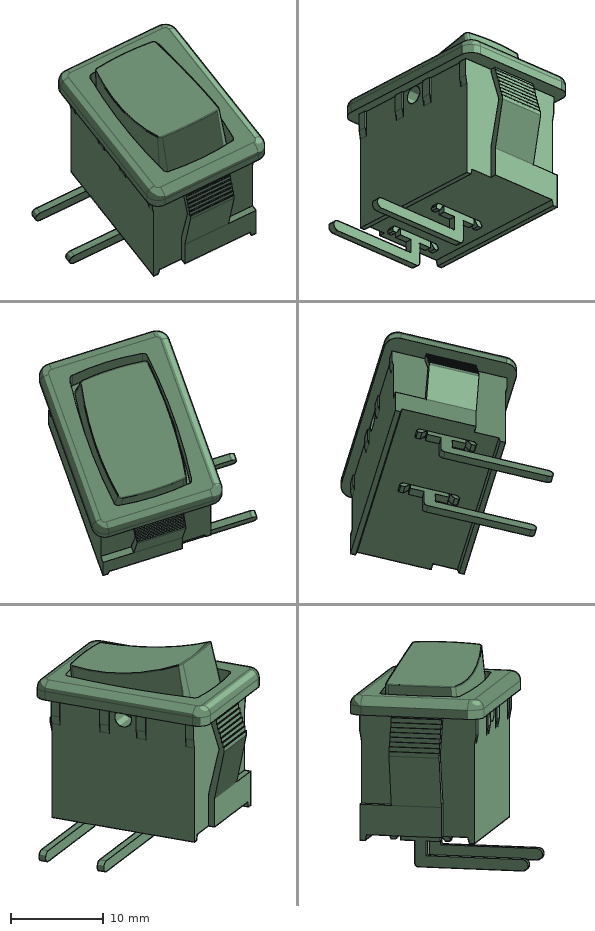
import cadquery as cq
import math


BEZEL_LENGTH = 20.7
BEZEL_WIDTH = 14.8
BEZEL_HEIGHT = 2.0
BEZEL_CORNER_RADIUS = 1.46
BEZEL_TOP_FILLET = BEZEL_HEIGHT / 2

WELL_HALF_LENGTH = 8.25
WELL_HALF_WIDTH = 4.88
WELL_END_BOW = 0.34
WELL_SIDE_BOW = 0.5
WELL_CORNER_RADIUS = 0.5
WELL_FLOOR_Z = -1.12

BODY_LENGTH = 17.15
BODY_WIDTH = 12.6
BODY_BOTTOM_Z = -14.0
FOOT_HEIGHT = 0.65
FOOT_TIP_WIDTH = 0.58
FOOT_ROOT_WIDTH = 0.76
PIVOT_HOLE_DIAMETER = 2.0
PIVOT_HOLE_DEPTH = 2.92
PIVOT_Z = -PIVOT_HOLE_DIAMETER / 2

RIB_END_Z = -3.04
RIB_TAPER_START_Z = -2.05
RIB_PROTRUSION = 0.18
OUTER_RIB_WIDTH = 1.0
INNER_RIB_WIDTH = 1.12
INNER_RIB_OFFSET = 2.2

CLIP_WIDTH = 5.58
CLIP_SPAN = 20.95
CLIP_REACH = CLIP_SPAN / 2
CLIP_TOP_REACH = 9.22
CLIP_STEPS = 8
CLIP_FIRST_STEP_Z = -0.34
CLIP_BEND_Z = -4.39
CLIP_INNER_TOP_Z = -0.22
CLIP_INNER_REACH = 9.85
CLIP_INNER_BEND_Z = -4.16
CLIP_INNER_BOTTOM_Z = -9.68
PLATE_REACH = 9.32
PLATE_TOP_Z = -10.01

ROCKER_TILT = 10.0
ROCKER_DRAFT = 3.5
ROCKER_BASE_Z = -1.8
ROCKER_END_Z = 5.38
ROCKER_TOP_HALF_LENGTH = 7.06
ROCKER_TOP_HALF_WIDTH = 4.36
ROCKER_TOP_SAG = 0.88
ROCKER_END_BOW = 0.3
ROCKER_SIDE_BOW = 0.58
ROCKER_CORNER_RADIUS = 0.45
ROCKER_EDGE_FILLET = 0.1
ROCKER_UNDERCUT_TOP_Z = 0.68
ROCKER_UNDERCUT_ANGLE = 35.0

TERMINAL_POSITIONS = (-7.0, 0.0)
TERMINAL_THICKNESS = 0.8
TERMINAL_BASE_WIDTH = 4.36
TERMINAL_BASE_BOTTOM_Z = -14.13
LEAD_WIDTH = 1.25
LEAD_BOTTOM_Z = -17.0
LEAD_TIP_Y = -12.0
LEAD_BEND_RADIUS = 0.45
LEAD_INNER_RADIUS = 0.14
TAB_ROOT_INNER_Y = 2.2
TAB_ROOT_OUTER_Y = 3.08
TAB_TIP_INNER_Y = 2.8
TAB_TIP_MIDDLE_Y = 3.26
TAB_TIP_OUTER_Y = 3.38
TAB_SHOULDER_Z = -13.8
TAB_BOTTOM_Z = -14.06

RECESS_Z = BODY_BOTTOM_Z + FOOT_HEIGHT
EMBED = 0.22


def bowed_outline(half_length, half_width, end_bow, side_bow, corner_radius):
    """Rectangle whose four sides bulge outward, with rounded corners."""
    corner_x = half_length - end_bow
    corner_y = half_width - side_bow
    return (
        cq.Sketch()
        .arc((-corner_x, -corner_y), (0, -half_width), (corner_x, -corner_y))
        .arc((corner_x, -corner_y), (half_length, 0), (corner_x, corner_y))
        .arc((corner_x, corner_y), (0, half_width), (-corner_x, corner_y))
        .arc((-corner_x, corner_y), (-half_length, 0), (-corner_x, -corner_y))
        .assemble()
        .vertices()
        .fillet(corner_radius)
    )


def extrude_yz(points, x_start, x_end):
    """Prism along X with its outline given as (y, z) points."""
    plane = cq.Workplane("YZ", origin=(x_start, 0, 0))
    return plane.polyline(points).close().extrude(x_end - x_start)


def make_bezel():
    return (
        cq.Workplane("XY")
        .rect(BEZEL_LENGTH, BEZEL_WIDTH)
        .extrude(BEZEL_HEIGHT)
        .edges("|Z")
        .fillet(BEZEL_CORNER_RADIUS)
        .faces(">Z")
        .edges()
        .fillet(BEZEL_TOP_FILLET)
    )


def make_housing():
    """Housing block, with an end plate at the back of each end and feet below."""
    half_width = BODY_WIDTH / 2
    block = cq.Workplane("XY").box(
        BODY_LENGTH, BODY_WIDTH, EMBED - BODY_BOTTOM_Z, centered=(True, True, False)
    ).translate((0, 0, BODY_BOTTOM_Z))
    plates = extrude_yz(
        [
            (-CLIP_WIDTH / 2, BODY_BOTTOM_Z),
            (half_width, BODY_BOTTOM_Z),
            (half_width, PLATE_TOP_Z),
            (-CLIP_WIDTH / 2, PLATE_TOP_Z),
        ],
        -PLATE_REACH,
        PLATE_REACH,
    )
    recess = extrude_yz(
        [
            (half_width - FOOT_TIP_WIDTH, BODY_BOTTOM_Z),
            (half_width - FOOT_ROOT_WIDTH, RECESS_Z),
            (FOOT_ROOT_WIDTH - half_width, RECESS_Z),
            (FOOT_TIP_WIDTH - half_width, BODY_BOTTOM_Z),
        ],
        -PLATE_REACH,
        PLATE_REACH,
    )
    return block.union(plates).cut(recess)


def make_ribs():
    """Tapered ribs on the front of the housing, mirrored to the back."""
    outer_offset = (BODY_LENGTH - OUTER_RIB_WIDTH) / 2
    face_y = -BODY_WIDTH / 2
    profile = [
        (face_y + EMBED, EMBED),
        (face_y - RIB_PROTRUSION, EMBED),
        (face_y - RIB_PROTRUSION, RIB_TAPER_START_Z),
        (face_y, RIB_END_Z),
        (face_y + EMBED, RIB_END_Z),
    ]
    ribs = cq.Workplane("XY")
    for offset, width in ((outer_offset, OUTER_RIB_WIDTH), (INNER_RIB_OFFSET, INNER_RIB_WIDTH)):
        for center in (-offset, offset):
            ribs = ribs.union(extrude_yz(profile, center - width / 2, center + width / 2))
    return ribs.union(ribs.mirror("XZ"))


def make_clips():
    """Bent spring clip with a stepped outer face, on each end of the housing."""
    wall_x = BODY_LENGTH / 2
    step_height = (CLIP_FIRST_STEP_Z - CLIP_BEND_Z) / CLIP_STEPS
    step_depth = (CLIP_REACH - CLIP_TOP_REACH) / CLIP_STEPS
    outline = [(wall_x - EMBED, EMBED), (CLIP_TOP_REACH, EMBED)]
    for step in range(CLIP_STEPS):
        ledge_z = CLIP_FIRST_STEP_Z - step * step_height
        outline.append((CLIP_TOP_REACH + step * step_depth, ledge_z))
        outline.append((CLIP_TOP_REACH + (step + 1) * step_depth, ledge_z))
    outline += [
        (CLIP_REACH, CLIP_BEND_Z),
        (PLATE_REACH, PLATE_TOP_Z),
        (wall_x - EMBED, PLATE_TOP_Z),
        (wall_x - EMBED, CLIP_INNER_BOTTOM_Z),
        (wall_x, CLIP_INNER_BOTTOM_Z),
        (CLIP_INNER_REACH, CLIP_INNER_BEND_Z),
        (wall_x, CLIP_INNER_TOP_Z),
        (wall_x - EMBED, CLIP_INNER_TOP_Z),
    ]
    clip = cq.Workplane("XZ").polyline(outline).close().extrude(CLIP_WIDTH / 2, both=True)
    return clip.union(clip.mirror("YZ"))


def make_well():
    outline = bowed_outline(
        WELL_HALF_LENGTH, WELL_HALF_WIDTH, WELL_END_BOW, WELL_SIDE_BOW, WELL_CORNER_RADIUS
    )
    return (
        cq.Workplane("XY", origin=(0, 0, WELL_FLOOR_Z))
        .placeSketch(outline)
        .extrude(BEZEL_HEIGHT - WELL_FLOOR_Z)
    )


def make_pivot_holes():
    """Round holes through the front and back walls, deep enough to reach the undercut rocker."""
    hole = (
        cq.Workplane("XZ", origin=(0, -BODY_WIDTH / 2, PIVOT_Z))
        .circle(PIVOT_HOLE_DIAMETER / 2)
        .extrude(-PIVOT_HOLE_DEPTH)
    )
    return hole.union(hole.mirror("XZ"))


def make_rocker():
    """Drafted rocker with a concave top and undercut long sides, tilted about the pivot."""
    height = ROCKER_END_Z - ROCKER_BASE_Z
    slope = math.tan(math.radians(ROCKER_DRAFT))
    flare = height * slope
    outline = bowed_outline(
        ROCKER_TOP_HALF_LENGTH + flare,
        ROCKER_TOP_HALF_WIDTH + flare,
        ROCKER_END_BOW,
        ROCKER_SIDE_BOW,
        ROCKER_CORNER_RADIUS + flare,
    )
    block = (
        cq.Workplane("XY", origin=(0, 0, ROCKER_BASE_Z))
        .placeSketch(outline)
        .extrude(height, taper=ROCKER_DRAFT)
    )
    dish_radius = (ROCKER_TOP_HALF_LENGTH**2 + ROCKER_TOP_SAG**2) / (2 * ROCKER_TOP_SAG)
    dish = (
        cq.Workplane("XZ", origin=(0, 0, ROCKER_END_Z - ROCKER_TOP_SAG + dish_radius))
        .circle(dish_radius)
        .extrude(BEZEL_WIDTH / 2, both=True)
    )
    undercut_y = ROCKER_TOP_HALF_WIDTH + (ROCKER_END_Z - ROCKER_UNDERCUT_TOP_Z) * slope
    undercut_height = ROCKER_UNDERCUT_TOP_Z - ROCKER_BASE_Z
    undercut_depth = undercut_height * math.tan(math.radians(ROCKER_UNDERCUT_ANGLE))
    undercut = extrude_yz(
        [
            (-undercut_y, ROCKER_UNDERCUT_TOP_Z),
            (undercut_depth - undercut_y, ROCKER_BASE_Z),
            (-BEZEL_WIDTH / 2, ROCKER_BASE_Z),
            (-BEZEL_WIDTH / 2, ROCKER_UNDERCUT_TOP_Z),
        ],
        -BEZEL_LENGTH / 2,
        BEZEL_LENGTH / 2,
    )
    block = block.cut(undercut).cut(undercut.mirror("XZ"))
    rocker = block.cut(dish).faces(">Z").edges().fillet(ROCKER_EDGE_FILLET)
    return rocker.rotate((0, 0, 0), (0, 1, 0), -ROCKER_TILT).translate((0, 0, PIVOT_Z))


def make_terminal(center_x):
    """Flat terminal: base under the housing, stem, and a lead bent forward with a round tip."""
    x_start = center_x - TERMINAL_THICKNESS / 2
    x_end = center_x + TERMINAL_THICKNESS / 2
    half_base = TERMINAL_BASE_WIDTH / 2
    half_lead = LEAD_WIDTH / 2
    lead_top_z = LEAD_BOTTOM_Z + LEAD_WIDTH
    tip_center_y = LEAD_TIP_Y + half_lead
    bend_offset = LEAD_BEND_RADIUS * (1 - math.sqrt(0.5))
    terminal = (
        cq.Workplane("YZ", origin=(x_start, 0, 0))
        .moveTo(-half_base, RECESS_Z + EMBED)
        .lineTo(-half_base, TERMINAL_BASE_BOTTOM_Z)
        .lineTo(-half_lead, TERMINAL_BASE_BOTTOM_Z)
        .lineTo(-half_lead, lead_top_z + LEAD_INNER_RADIUS)
        .radiusArc((-half_lead - LEAD_INNER_RADIUS, lead_top_z), LEAD_INNER_RADIUS)
        .lineTo(tip_center_y, lead_top_z)
        .threePointArc((LEAD_TIP_Y, LEAD_BOTTOM_Z + half_lead), (tip_center_y, LEAD_BOTTOM_Z))
        .lineTo(half_lead - LEAD_BEND_RADIUS, LEAD_BOTTOM_Z)
        .threePointArc(
            (half_lead - bend_offset, LEAD_BOTTOM_Z + bend_offset),
            (half_lead, LEAD_BOTTOM_Z + LEAD_BEND_RADIUS),
        )
        .lineTo(half_lead, TERMINAL_BASE_BOTTOM_Z)
        .lineTo(half_base, TERMINAL_BASE_BOTTOM_Z)
        .lineTo(half_base, RECESS_Z + EMBED)
        .close()
        .extrude(TERMINAL_THICKNESS)
    )
    for side in (-1, 1):
        splayed_tab = [
            (side * TAB_ROOT_INNER_Y, RECESS_Z + EMBED),
            (side * TAB_ROOT_INNER_Y, RECESS_Z),
            (side * TAB_TIP_INNER_Y, TAB_BOTTOM_Z),
            (side * TAB_TIP_MIDDLE_Y, TAB_BOTTOM_Z),
            (side * TAB_TIP_OUTER_Y, TAB_SHOULDER_Z),
            (side * TAB_ROOT_OUTER_Y, RECESS_Z),
            (side * TAB_ROOT_OUTER_Y, RECESS_Z + EMBED),
        ]
        terminal = terminal.union(extrude_yz(splayed_tab, x_start, x_end))
    return terminal


result = make_bezel().union(make_housing()).union(make_ribs()).union(make_clips())
for terminal_x in TERMINAL_POSITIONS:
    result = result.union(make_terminal(terminal_x))
result = result.cut(make_well()).cut(make_pivot_holes()).union(make_rocker())